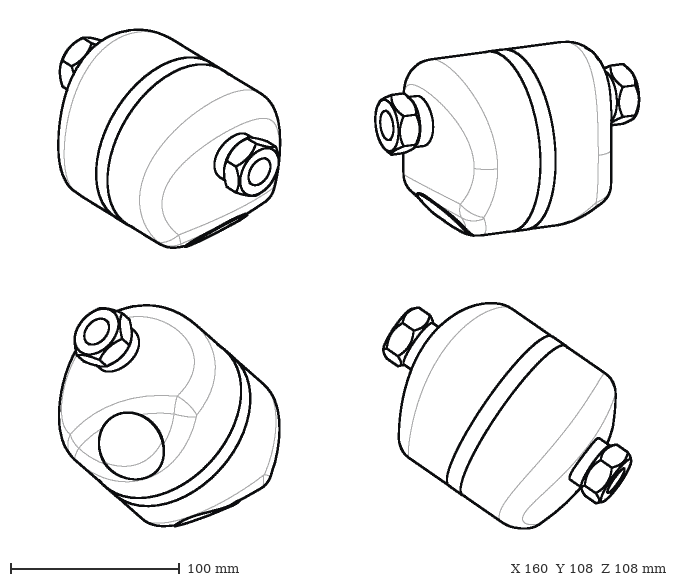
import cadquery as cq
import math

overall_length = 160.0
body_diameter = 107.7
body_length = 115.8
end_curve_radius = 94.4
edge_radius = 14.0

incline_top_z = -25.0
incline_bottom_x = 29.8
incline_curve_radius = 320.0

pad_diameter = 41.6
pad_center_z = -41.5
pad_height = 0.3

band_diameter = 108.0
band_width = 10.0

port_z = 19.2
neck_diameter = 30.0
hex_across_flats = 32.0
hex_length = 14.7
hex_face_diameter = 30.7
bore_diameter = 17.5
bore_depth = 20.0

half_length = overall_length / 2
half_body = body_length / 2
body_radius = body_diameter / 2
incline_run = half_body - incline_bottom_x
incline_rise = incline_top_z + body_radius
incline_length = math.hypot(incline_run, incline_rise)
hex_across_corners = hex_across_flats / math.cos(math.radians(30))


def x_cylinder(diameter, start_x, length, z=0.0):
    """Round bar along +X, beginning at start_x."""
    return cq.Workplane("YZ", origin=(start_x, 0, z)).circle(diameter / 2).extrude(length)


def incline_plane(point_z, offset=0):
    """Plane tangent to the inclined face at height point_z, raised outward by offset."""
    normal_x = incline_rise / incline_length
    normal_z = -incline_run / incline_length
    point_x = half_body - (incline_top_z - point_z) * incline_run / incline_rise
    return cq.Plane(
        origin=(point_x + offset * normal_x, 0, point_z + offset * normal_z),
        xDir=(0, 1, 0),
        normal=(normal_x, 0, normal_z),
    )


def make_half_body():
    """Right half of the vessel: bowed end, bowed lower incline and rounded edges."""
    half = x_cylinder(body_diameter, 0, half_body)

    bowed_end = (
        cq.Workplane("XY", origin=(half_body - end_curve_radius, 0, -body_radius))
        .circle(end_curve_radius)
        .extrude(body_diameter)
    )

    slope = cq.Vector(-incline_run, 0, -incline_rise).normalized()
    axis_point = incline_plane(incline_top_z, -incline_curve_radius).origin
    bowed_incline = cq.Workplane(
        cq.Plane(origin=axis_point, xDir=(0, 1, 0), normal=slope)
    ).circle(incline_curve_radius).extrude(body_length, both=True)

    half = half.intersect(bowed_end).intersect(bowed_incline)
    return half.edges("not(<X)").fillet(edge_radius)


def make_pad():
    """Round pad with a flat face just proud of the incline, rounded off into the underside."""
    pad_plane = incline_plane(pad_center_z, pad_height)
    pad = cq.Workplane(pad_plane).circle(pad_diameter / 2).extrude(-edge_radius)

    outside = cq.Workplane(pad_plane).circle(overall_length * 2).extrude(overall_length * 2)
    slanted_bar = x_cylinder(body_diameter, 0, 2 * overall_length).cut(outside)
    return pad.intersect(slanted_bar.faces("not(<X)").edges(">X").fillet(edge_radius))


def make_port():
    """Right port: round neck and a hexagon with both ends chamfered at the corners."""
    neck = x_cylinder(neck_diameter, 0, half_length - hex_length, port_z)
    hexagon = (
        cq.Workplane("YZ", origin=(half_length - hex_length, 0, port_z))
        .polygon(6, hex_across_corners)
        .extrude(hex_length)
        .rotate((0, 0, port_z), (1, 0, port_z), 90)
    )

    corner_radius = hex_across_corners / 2
    outer_chamfer = corner_radius - hex_face_diameter / 2
    inner_chamfer = corner_radius - neck_diameter / 2
    turned_blank = (
        x_cylinder(hex_across_corners, half_length - hex_length, hex_length, port_z)
        .faces(">X")
        .chamfer(outer_chamfer)
        .faces("<X")
        .chamfer(inner_chamfer)
    )
    return neck.union(hexagon.intersect(turned_blank))


right_half = make_half_body().union(make_pad()).union(make_port())
right_half = right_half.cut(x_cylinder(bore_diameter, half_length - bore_depth, bore_depth, port_z))
left_half = right_half.mirror("YZ")
band = x_cylinder(band_diameter, -band_width / 2, band_width)

result = right_half.union(left_half).union(band)